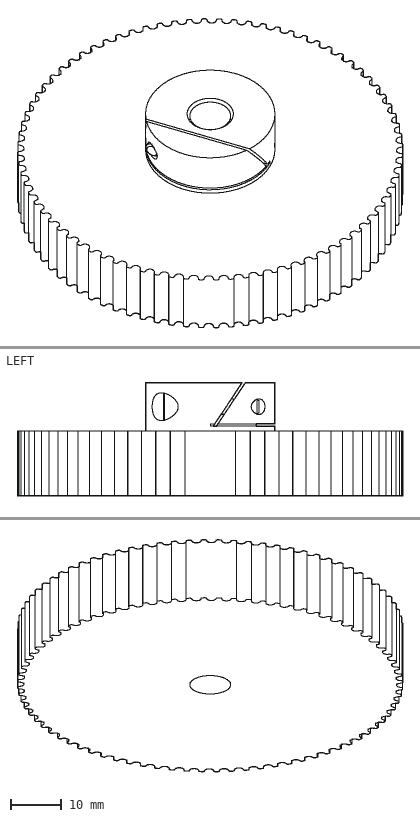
import cadquery as cq
import math

outer_diameter = 75.55
tooth_count = 80
gear_width = 12.8
groove_depth = 1.2
groove_radius = 0.9
tip_rounding = 0.4

total_height = 22.2
hub_radius = 12.7
bore_radius = 4.0
bore_chamfer = 0.5

relief_foot = 0.9
relief_floor = gear_width + relief_foot
relief_height = 0.45
relief_core_radius = 9.1
slit_width = 0.6
slit_top_y = -6.3
slit_bottom_y = -0.6

screw_x = -8.3
screw_z = (gear_width + total_height) / 2
shank_radius = 1.5
shank_tip_y = -9.6
shank_tip_chamfer = 0.4
head_radius = 2.7
head_top_y = 9.2
head_chamfer = 0.2
head_seat_y = 6.35


def polar(radius, angle):
    return (radius * math.cos(angle), radius * math.sin(angle))


def turned(x, y, angle):
    """The point (x, y) turned about the origin."""
    return polar(math.hypot(x, y), math.atan2(y, x) + angle)


def toothed_rim():
    """Round-bottomed grooves blended into the tip circle; one groove sits on each axis."""
    pitch = 2 * math.pi / tooth_count
    groove_root = outer_diameter / 2 - groove_depth
    groove_center = groove_root + groove_radius

    rounding_x = outer_diameter / 2 - tip_rounding
    rounding_offset = rounding_x - groove_center
    blend_distance = groove_radius + tip_rounding
    rounding_y = math.sqrt(blend_distance**2 - rounding_offset**2)
    rounding_angle = math.atan2(rounding_y, rounding_x)
    tip_radius = math.hypot(rounding_x, rounding_y) + tip_rounding

    blend_x = groove_center + rounding_offset * groove_radius / blend_distance
    blend_y = rounding_y * groove_radius / blend_distance
    toward_groove = math.atan2(-rounding_y, -rounding_offset)
    middle_direction = (toward_groove + rounding_angle) / 2
    middle_x = rounding_x + tip_rounding * math.cos(middle_direction)
    middle_y = rounding_y + tip_rounding * math.sin(middle_direction)

    outline = cq.Workplane("XY").moveTo(*polar(tip_radius, -rounding_angle))
    for i in range(tooth_count):
        axis = i * pitch
        tip_start = axis + rounding_angle
        tip_end = axis + pitch - rounding_angle
        outline = (
            outline
            .threePointArc(turned(middle_x, -middle_y, axis), turned(blend_x, -blend_y, axis))
            .threePointArc(polar(groove_root, axis), turned(blend_x, blend_y, axis))
            .threePointArc(turned(middle_x, middle_y, axis), polar(tip_radius, tip_start))
            .threePointArc(polar(tip_radius, axis + pitch / 2), polar(tip_radius, tip_end))
        )
    return outline.close().extrude(gear_width)


def cylinder_z(radius, bottom, top):
    return cq.Workplane("XY").workplane(offset=bottom).circle(radius).extrude(top - bottom)


def screw_cylinder(radius, start_y, end_y):
    """Cylinder on the screw axis between two Y positions, start below end."""
    plane = cq.Plane(origin=(screw_x, start_y, screw_z), xDir=(1, 0, 0), normal=(0, 1, 0))
    return cq.Workplane(plane).circle(radius).extrude(end_y - start_y)


def clamp_relief():
    """Shallow half-ring groove around the foot of the hub."""
    half_space = cq.Workplane("XY").box(
        outer_diameter, outer_diameter / 2, total_height, centered=(True, False, False)
    ).translate((0, -outer_diameter / 2, 0))
    relief_top = relief_floor + relief_height
    ring = cylinder_z(outer_diameter / 2, relief_floor, relief_top)
    return ring.cut(cylinder_z(relief_core_radius, relief_floor, relief_top)).intersect(half_space)


def clamp_slit():
    """Slanted slit across the hub, from its top face down to the relief floor."""
    return (
        cq.Workplane("YZ")
        .polyline([
            (slit_top_y, total_height),
            (slit_bottom_y, relief_floor),
            (slit_bottom_y - slit_width, relief_floor),
            (slit_top_y - slit_width, total_height),
        ])
        .close()
        .extrude(hub_radius, both=True)
    )


def clamp_screw():
    shank = screw_cylinder(shank_radius, shank_tip_y, head_seat_y).faces("<Y").chamfer(shank_tip_chamfer)
    head = screw_cylinder(head_radius, head_seat_y, head_top_y).faces(">Y").chamfer(head_chamfer)
    return shank.union(head)


hub = cylinder_z(hub_radius, gear_width, total_height)
hub = hub.cut(clamp_relief()).cut(clamp_slit())

hub = hub.cut(screw_cylinder(shank_radius, -hub_radius, 0))
hub = hub.cut(screw_cylinder(head_radius, head_seat_y, hub_radius))
hub = hub.union(clamp_screw())

pulley = toothed_rim().union(hub).cut(cylinder_z(bore_radius, 0, total_height))

bore_rim = cq.selectors.BoxSelector(
    (-2 * bore_radius, -bore_radius, total_height - bore_chamfer),
    (2 * bore_radius, bore_radius, total_height + bore_chamfer),
)
result = pulley.edges("%CIRCLE").edges(bore_rim).chamfer(bore_chamfer)